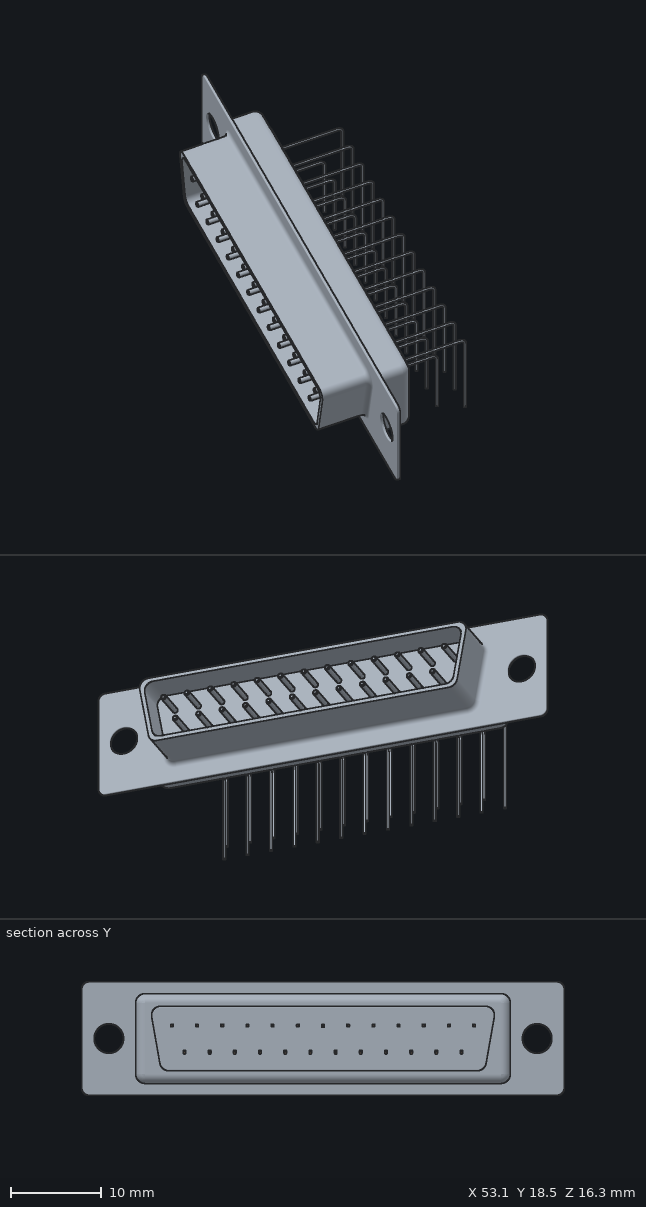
import cadquery as cq
import math


OVERALL_DEPTH = 18.49
OVERALL_HEIGHT = 16.27

FLANGE_WIDTH = 53.1
FLANGE_HEIGHT = 12.5
FLANGE_THICKNESS = 0.4
FLANGE_CORNER_RADIUS = 0.8
FLANGE_EDGE_RADIUS = 0.1
MOUNT_HOLE_DIAMETER = 3.2
MOUNT_HOLE_SPACING = 47.1

SHELL_WIDTH = 39.05
SHELL_HEIGHT = 7.9
SHELL_DEPTH = 5.8
SHELL_SIDE_ANGLE = 10.0
SHELL_CORNER_RADIUS = 1.0
SHELL_WALL = 0.5
SHELL_BASE_FILLET = 0.6
JOINT_TOLERANCE = 0.01
RECESS_DEPTH = 3.8
RECESS_FLOOR_Y = RECESS_DEPTH - SHELL_DEPTH

HOUSING_WIDTH = 41.2
HOUSING_HEIGHT = 9.9
HOUSING_BACK = 4.4
HOUSING_RADIUS = 1.05
HOUSING_BACK_RADIUS = 1.0
PAD_HEIGHT = 0.3
PAD_INSET = 0.4
PAD_EDGE_RADIUS = 0.15

CONTACT_PITCH = 2.77
ROW_SPACING = 2.84
UPPER_ROW_COUNT = 13
LOWER_ROW_COUNT = UPPER_ROW_COUNT - 1
PIN_DIAMETER = 0.6
PIN_SETBACK = 0.2
PIN_TIP_CHAMFER = 0.1
PIN_ROOT = 0.5
TAIL_DIAMETER = 0.3
UPPER_BEND_RADIUS = 0.6
LOWER_BEND_RADIUS = 0.75
UPPER_TAIL_BACK = OVERALL_DEPTH - SHELL_DEPTH
TAIL_ROW_SPACING = 2.74
TAIL_BOTTOM = FLANGE_HEIGHT / 2 - OVERALL_HEIGHT


def plane_at(y):
    """Workplane at the given Y with local x along X and local y along Z; it extrudes towards -Y."""
    return cq.Workplane("XZ", origin=(0, y, 0))


def box_between(width, height, y_front, y_back):
    """Rectangular block centred on the Y axis, between two Y planes."""
    return plane_at(y_back).rect(width, height).extrude(y_back - y_front)


def d_prism(inset, y_front, y_back):
    """Round-cornered D prism between two Y planes, inset evenly from the shell outline."""
    angle = math.radians(SHELL_SIDE_ANGLE)
    half_height = SHELL_HEIGHT / 2 - inset
    top = SHELL_WIDTH / 2 - inset * (math.tan(angle) + 1 / math.cos(angle))
    bottom = top - 2 * half_height * math.tan(angle)
    corners = [(-top, half_height), (top, half_height), (bottom, -half_height), (-bottom, -half_height)]
    prism = plane_at(y_back).polyline(corners).close().extrude(y_back - y_front)
    return prism.edges("|Y").fillet(SHELL_CORNER_RADIUS)


def make_flange():
    """Mounting plate with two through holes, rounded corners and softened front and back edges."""
    plate = box_between(FLANGE_WIDTH, FLANGE_HEIGHT, 0, FLANGE_THICKNESS)
    plate = plate.edges("|Y").fillet(FLANGE_CORNER_RADIUS)
    centres = [(-MOUNT_HOLE_SPACING / 2, 0), (MOUNT_HOLE_SPACING / 2, 0)]
    hole_outlines = plane_at(FLANGE_THICKNESS).pushPoints(centres).circle(MOUNT_HOLE_DIAMETER / 2)
    holes = hole_outlines.extrude(FLANGE_THICKNESS)
    return plate.cut(holes).faces("|Y").edges().fillet(FLANGE_EDGE_RADIUS)


def make_housing():
    """Rear block with rounded sides and back rim, carrying the raised D-shaped pad."""
    block = box_between(HOUSING_WIDTH, HOUSING_HEIGHT, FLANGE_THICKNESS, HOUSING_BACK)
    block = block.edges("|Y").fillet(HOUSING_RADIUS)
    block = block.faces(">Y").edges().fillet(HOUSING_BACK_RADIUS)
    pad = d_prism(PAD_INSET, HOUSING_BACK, HOUSING_BACK + PAD_HEIGHT)
    pad = pad.faces(">Y").edges().fillet(PAD_EDGE_RADIUS)
    return block.union(pad)


def add_shell(flange):
    """Join the shell to the flange front and blend the joint with a concave fillet."""
    joined = flange.union(d_prism(0, -SHELL_DEPTH, 0))
    reach_x = SHELL_WIDTH / 2
    reach_z = (SHELL_HEIGHT + FLANGE_HEIGHT) / 4
    joint = cq.selectors.BoxSelector(
        (-reach_x, -JOINT_TOLERANCE, -reach_z),
        (reach_x, JOINT_TOLERANCE, reach_z),
        boundingbox=True,
    )
    return joined.edges(joint).fillet(SHELL_BASE_FILLET)


def make_contact(x, z, tail_y, bend_radius):
    """Mating pin in front, and a thin tail that leaves the back and bends down at tail_y."""
    pin_length = RECESS_DEPTH - PIN_SETBACK
    pin_outline = plane_at(RECESS_FLOOR_Y + PIN_ROOT).center(x, z).circle(PIN_DIAMETER / 2)
    pin = pin_outline.extrude(pin_length + PIN_ROOT)
    pin = pin.faces("<Y").edges().chamfer(PIN_TIP_CHAMFER)

    bend_mid = bend_radius * math.sin(math.radians(45))
    path = (
        cq.Workplane("YZ", origin=(x, 0, 0))
        .moveTo(HOUSING_BACK, z)
        .lineTo(tail_y - bend_radius, z)
        .threePointArc(
            (tail_y - bend_radius + bend_mid, z - bend_radius + bend_mid),
            (tail_y, z - bend_radius),
        )
        .lineTo(tail_y, TAIL_BOTTOM)
    )
    tail = plane_at(HOUSING_BACK).center(x, z).circle(TAIL_DIAMETER / 2).sweep(path)
    return [pin.val(), tail.val()]


def make_row(count, z, tail_y, bend_radius):
    """One evenly pitched row of contacts, centred on X = 0."""
    shapes = []
    for index in range(count):
        x = (index - (count - 1) / 2) * CONTACT_PITCH
        shapes += make_contact(x, z, tail_y, bend_radius)
    return shapes


body = add_shell(make_flange())
body = body.union(make_housing())
body = body.cut(d_prism(SHELL_WALL, -SHELL_DEPTH, RECESS_FLOOR_Y))

upper_tail_y = UPPER_TAIL_BACK - TAIL_DIAMETER / 2
lower_tail_y = upper_tail_y - TAIL_ROW_SPACING
upper_row = make_row(UPPER_ROW_COUNT, ROW_SPACING / 2, upper_tail_y, UPPER_BEND_RADIUS)
lower_row = make_row(LOWER_ROW_COUNT, -ROW_SPACING / 2, lower_tail_y, LOWER_BEND_RADIUS)
result = cq.Workplane(body.val().fuse(*upper_row, *lower_row))